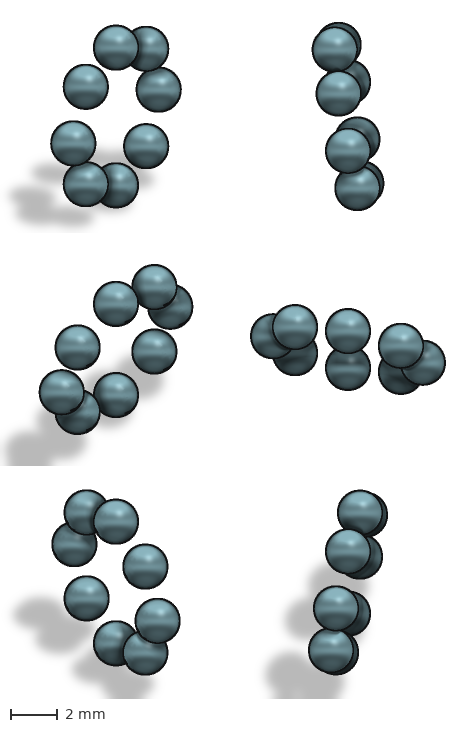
import cadquery as cq
import math

RING_OUTER_DIAMETER = 8.41
BALL_DIAMETER = 1.91
BALL_COUNT = 8

ball_radius = BALL_DIAMETER / 2
pitch_radius = RING_OUTER_DIAMETER / 2 - ball_radius


def make_ball(angle):
    """One ball on the pitch circle, at an angle in degrees from +Y towards +Z."""
    y = pitch_radius * math.cos(math.radians(angle))
    z = pitch_radius * math.sin(math.radians(angle))
    return cq.Workplane("XY").sphere(ball_radius).translate((0, y, z))


balls = [make_ball(i * 360 / BALL_COUNT) for i in range(BALL_COUNT)]

result = cq.Compound.makeCompound([ball.val() for ball in balls])